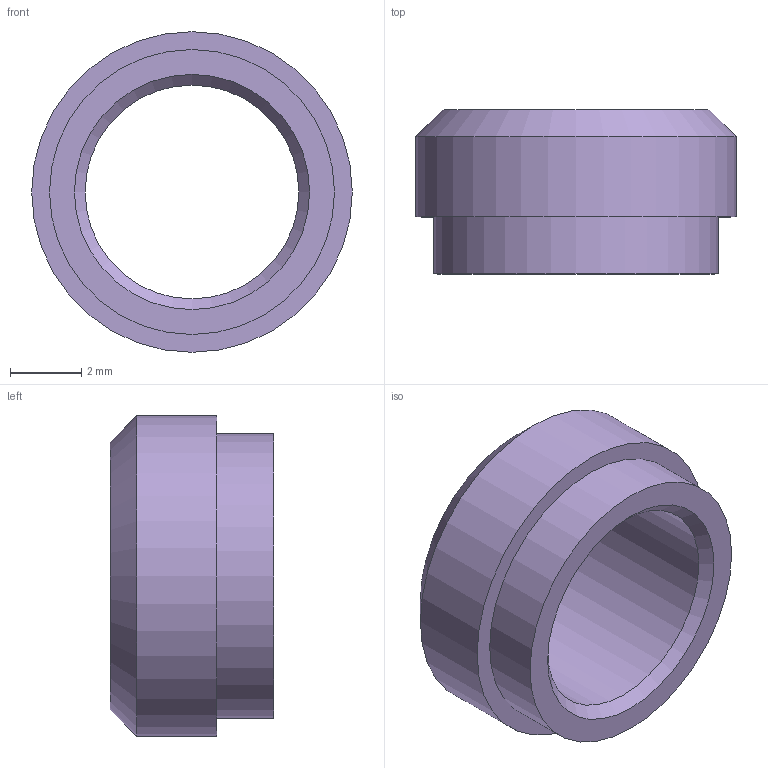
import cadquery as cq

collar_diameter = 9.0
spigot_diameter = 8.0
bore_diameter = 6.0
spigot_length = 1.6
collar_length = 3.0
collar_chamfer = 0.75
bore_chamfer = 0.3


def front_cylinder(diameter, length):
    """Cylinder along +Y that starts on the front face, y = 0."""
    return cq.Workplane("XZ").circle(diameter / 2).extrude(-length)


def make_collar():
    """Wide collar behind the spigot, chamfered on its rear rim."""
    collar = front_cylinder(collar_diameter, collar_length)
    collar = collar.faces(">Y").edges().chamfer(collar_chamfer)
    return collar.translate((0, spigot_length, 0))


def cut_bore(body):
    """Through bore with a chamfered front mouth."""
    bore = front_cylinder(bore_diameter, spigot_length + collar_length)
    bored = body.cut(bore)
    mouth_edge = bored.faces("<Y").edges(cq.selectors.RadiusNthSelector(0))
    return mouth_edge.chamfer(bore_chamfer)


spigot = front_cylinder(spigot_diameter, spigot_length)
result = cut_bore(spigot.union(make_collar()))